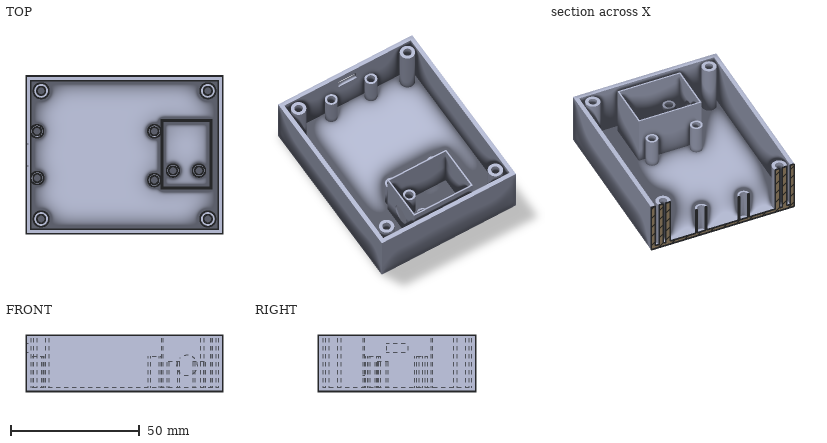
import cadquery as cq

length = 76.4
width = 61.4
height = 22.0
wall = 1.8
floor = 1.8

bore_diameter = 3.3

lid_post_diameter = 6.0
lid_post_inset = 4.0
lid_post_span_x = length - 2 * (wall + lid_post_inset)
lid_post_span_y = width - 2 * (wall + lid_post_inset)

small_post_diameter = 5.0
board_post_height = 12.0
board_post_centres = [(-34.0, 9.2), (-33.9, -9.0), (11.6, 9.2), (11.6, -9.8)]

box_length = 19.7
box_width = 26.9
box_wall = 0.6
box_centre_x = 24.05
box_centre_y = 0.2

sensor_post_height = 10.0
sensor_post_span = 10.1
sensor_post_centre_x = 23.9
sensor_post_y = -6.1

window_diameter = 8.0
window_x = 24.2
window_z = 10.3

board_thickness = 1.6
slot_width = 8.5
slot_height = 3.5
slot_bottom = floor + board_post_height + board_thickness


def block(size_x, size_y, z_bottom, z_top):
    """Upright block centred on the origin in X and Y."""
    return cq.Workplane("XY").workplane(offset=z_bottom).rect(size_x, size_y).extrude(z_top - z_bottom)


def cylinders(centres, diameter, rise):
    """Upright cylinders standing on the floor."""
    return cq.Workplane("XY").workplane(offset=floor).pushPoints(centres).circle(diameter / 2).extrude(rise)


def make_tray():
    cavity = block(length - 2 * wall, width - 2 * wall, floor, height)
    return block(length, width, 0, height).cut(cavity)


def make_sensor_box():
    outside = block(box_length, box_width, floor, height)
    inside = block(box_length - 2 * box_wall, box_width - 2 * box_wall, floor, height)
    shell = outside.cut(inside).translate((box_centre_x, box_centre_y, 0))
    front_y = box_centre_y - box_width / 2
    window = (
        cq.Workplane("XZ", origin=(window_x, front_y + box_wall, window_z))
        .circle(window_diameter / 2)
        .extrude(box_wall)
    )
    return shell.cut(window)


def add_posts(body, centres, diameter, rise):
    """Stand bored posts on the floor of the body."""
    posts = cylinders(centres, diameter, rise)
    bores = cylinders(centres, bore_diameter, rise)
    return body.union(posts).cut(bores)


def make_connector_slot():
    slot = block(wall, slot_width, slot_bottom, slot_bottom + slot_height)
    return slot.translate(((wall - length) / 2, 0, 0))


lid_post_centres = [
    (side_x * lid_post_span_x / 2, side_y * lid_post_span_y / 2)
    for side_x in (-1, 1)
    for side_y in (-1, 1)
]
sensor_post_centres = [(sensor_post_centre_x + side * sensor_post_span / 2, sensor_post_y) for side in (-1, 1)]

result = make_tray().union(make_sensor_box())
result = add_posts(result, lid_post_centres, lid_post_diameter, height - floor)
result = add_posts(result, board_post_centres, small_post_diameter, board_post_height)
result = add_posts(result, sensor_post_centres, small_post_diameter, sensor_post_height)
result = result.cut(make_connector_slot())